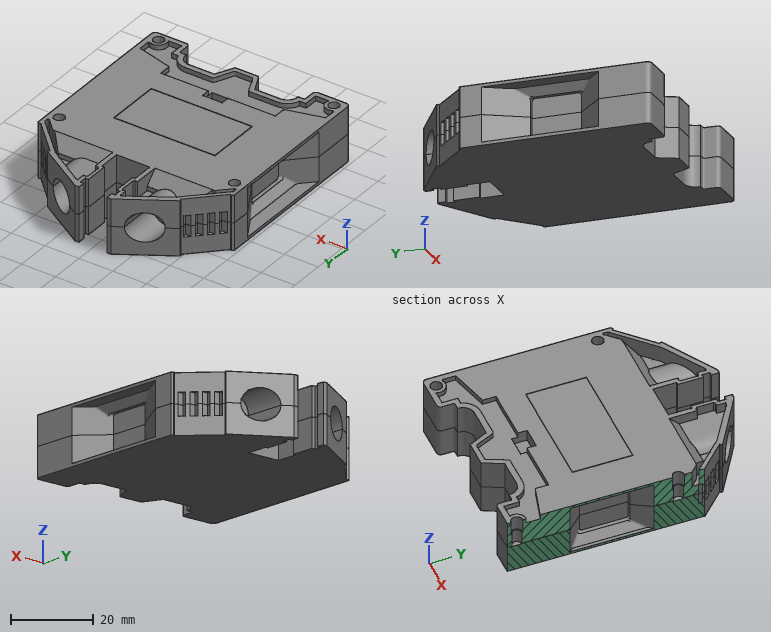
import cadquery as cq
import math


width = 58.0
height = 68.0
thickness = 16.0
half_width = width / 2
half_thickness = thickness / 2

outer_foot_radius = 1.2
inner_foot_radius = 1.0
foot_inner_x = 18.5
foot_step_y = 4.3
foot_step_radius = 0.4
seat_outer_x = 16.5
seat_roof_y = 7.5
seat_radius = 3.0
tongue_root_x = 6.0
tongue_tip_x = 3.5
tongue_tip_y = 2.25

shoulder_y = 49.5
shoulder_bump = 0.5
shoulder_dip_x = 28.0
shoulder_dip_y = 49.8
roof_foot_x = 19.3
roof_foot_y = shoulder_dip_y + shoulder_dip_x - roof_foot_x
eave_overhang = 0.3
eave_y = 59.15
post_top_x = 5.3

slot_floor_y = 50.85
slot_floor_x = 4.9
post_step_y = 57.05
post_inner_x = 4.15
post_notch_x = 5.1
post_notch_low_y = 63.85
post_notch_high_y = 65.9

entry_low_y = 13.4
entry_high_y = 43.9
entry_floor_low_y = 20.55
entry_floor_high_y = 33.4
entry_depth = 7.1
entry_half_thickness = 7.15
entry_taper_start = 3.95
entry_taper_end = 6.0
entry_floor_half_thickness = 5.1
entry_corner_radius = 0.7

bore_x = 12.3
bore_radius = 4.2
bore_floor_y = 54.4
sleeve_radius = 5.3

notch_count = 4
notch_pitch = 2.1
notch_top_y = 58.0
notch_height = 1.35
notch_bend_drop = 0.75
notch_bend_x = 0.3
notch_floor_x = 0.35
notch_half_length = 3.05

screw_x = 25.9
screw_low_y = 2.5
screw_high_y = 44.95
screw_head_diameter = 3.0
screw_head_depth = 4.1
screw_shank_diameter = 2.45

pocket_floor_z = 3.25
pocket_inner_x = 6.25
pocket_top_y = 65.35
pocket_top_x = 6.9
pocket_roof_x = 17.75
pocket_roof_y = 58.4
pocket_outer_x = 27.8
pocket_corner_y = 48.4
pocket_tip_x = 27.4
pocket_tip_y = 47.05
relief_x = 5.1
relief_low_y = 57.95
relief_high_y = 63.05
relief_chamfer = 0.35
ramp_top_y = 50.5
ramp_foot_y = 53.9
ramp_foot_z = 4.55
ramp_setback = 0.55

label_width = 29.85
label_low_y = 21.55
label_high_y = 37.5
label_depth = 0.15
latch_width = 5.8
latch_low_y = 12.9
latch_high_y = 17.0
latch_depth = 3.2
base_recess_depth = 1.35
base_top_x = 16.9
base_top_y = 14.55
base_shoulder_y = 11.0
base_side_x = 27.4
base_side_high_y = 8.2
base_side_low_y = 4.75
base_bottom_y = 1.55
base_foot_x = 19.85
base_step_y = 5.7
base_roof_y = 9.1
base_tongue_root_x = 5.2
base_tongue_tip_x = 2.7
base_tongue_tip_y = 3.6
base_tongue_radius = 0.55
screw_boss_radius = 2.45


def both_sides(left):
    """Return a left-hand tool together with its mirror image about X = 0."""
    return left.union(left.mirror("YZ"))


def block_outline():
    """Closed outer outline, drawn for the -X half from the slot to the tongue and mirrored."""
    return (
        cq.Workplane("XY")
        .moveTo(0, slot_floor_y)
        .lineTo(-slot_floor_x, slot_floor_y)
        .lineTo(-slot_floor_x, post_step_y)
        .lineTo(-post_inner_x, post_step_y)
        .lineTo(-post_inner_x, post_notch_low_y)
        .lineTo(-post_notch_x, post_notch_low_y)
        .lineTo(-post_notch_x, post_notch_high_y)
        .lineTo(-post_inner_x, post_notch_high_y)
        .lineTo(-post_inner_x, height)
        .lineTo(-post_top_x, height)
        .lineTo(-roof_foot_x - eave_overhang, eave_y)
        .lineTo(-roof_foot_x - eave_overhang, roof_foot_y + eave_overhang)
        .lineTo(-roof_foot_x, roof_foot_y)
        .lineTo(-shoulder_dip_x, shoulder_dip_y)
        .lineTo(-half_width + shoulder_bump, shoulder_y + shoulder_bump)
        .lineTo(-half_width, shoulder_y)
        .lineTo(-half_width, outer_foot_radius)
        .tangentArcPoint((-half_width + outer_foot_radius, 0), relative=False)
        .lineTo(-foot_inner_x - inner_foot_radius, 0)
        .tangentArcPoint((-foot_inner_x, inner_foot_radius), relative=False)
        .lineTo(-foot_inner_x, foot_step_y - foot_step_radius)
        .tangentArcPoint((-foot_inner_x + foot_step_radius, foot_step_y), relative=False)
        .lineTo(-seat_outer_x, foot_step_y)
        .lineTo(-seat_outer_x, seat_roof_y - seat_radius)
        .tangentArcPoint((-seat_outer_x + seat_radius, seat_roof_y), relative=False)
        .lineTo(-tongue_root_x, seat_roof_y)
        .lineTo(-tongue_tip_x, tongue_tip_y)
        .lineTo(0, tongue_tip_y)
        .mirrorY()
    )


def wire_entry():
    """Funnel in the -X side: sloped along Y, tapered along Z at mid depth, straight at its floor."""
    floor_x = -half_width + entry_depth
    taper_start_x = -half_width + entry_taper_start
    taper_end_x = -half_width + entry_taper_end
    sloped = (
        cq.Workplane("XY")
        .polyline([
            (-half_width, entry_low_y),
            (floor_x, entry_floor_low_y),
            (floor_x, entry_floor_high_y),
            (taper_end_x, entry_floor_high_y),
            (-half_width, entry_high_y),
        ])
        .close()
        .extrude(half_thickness, both=True)
    )
    tapered = (
        cq.Workplane("XZ")
        .polyline([
            (-half_width, -entry_half_thickness),
            (taper_start_x, -entry_half_thickness),
            (taper_end_x, -entry_floor_half_thickness),
            (floor_x, -entry_floor_half_thickness),
            (floor_x, entry_floor_half_thickness),
            (taper_end_x, entry_floor_half_thickness),
            (taper_start_x, entry_half_thickness),
            (-half_width, entry_half_thickness),
        ])
        .close()
        .extrude(-height)
    )
    funnel = sloped.intersect(tapered)
    inner_part = cq.selectors.BoxSelector(
        (taper_start_x, 0, -half_thickness),
        (floor_x, height, half_thickness),
    )
    corners = funnel.edges(inner_part).edges("not(|Y or |Z)")
    return corners.fillet(entry_corner_radius)


def along_y(radius, low_y, high_y):
    """Cylinder on the axis of the -X screw bore."""
    return (
        cq.Workplane("XZ", origin=(-bore_x, low_y, 0))
        .circle(radius)
        .extrude(low_y - high_y)
    )


def grip_notches():
    """Row of finger-grip notches in the -X shoulder."""
    notches = cq.Workplane("XY")
    for index in range(notch_count):
        top_y = notch_top_y - index * notch_pitch
        top_x = -roof_foot_x - (roof_foot_y - top_y)
        notch = (
            cq.Workplane("XY")
            .polyline([
                (top_x, top_y),
                (top_x + notch_bend_x, top_y - notch_bend_drop),
                (top_x + notch_floor_x, top_y - notch_height),
                (top_x - notch_height, top_y - notch_height),
            ])
            .close()
            .extrude(notch_half_length, both=True)
        )
        notches = notches.add(notch)
    return notches.combine()


def half_shell(direction):
    """Plain half of the housing on the +Z (direction 1) or -Z (direction -1) side of the joint."""
    shell = block_outline().extrude(direction * half_thickness)
    shell = shell.cut(both_sides(wire_entry()))
    shell = shell.cut(both_sides(along_y(bore_radius, bore_floor_y, height)))
    return shell.cut(both_sides(grip_notches()))


def screw_holes():
    """Counterbored corner holes through the upper shell."""
    centers = [(x, y) for x in (-screw_x, screw_x) for y in (screw_low_y, screw_high_y)]
    shanks = (
        cq.Workplane("XY")
        .pushPoints(centers)
        .circle(screw_shank_diameter / 2)
        .extrude(half_thickness)
    )
    heads = (
        cq.Workplane("XY", origin=(0, 0, half_thickness))
        .pushPoints(centers)
        .circle(screw_head_diameter / 2)
        .extrude(-screw_head_depth)
    )
    return shanks.union(heads)


def bore_pocket():
    """Open pocket at the -X post: deep along the roof, with a ramp up to the main face."""
    ramp_side_x = -pocket_tip_x + (ramp_top_y - pocket_tip_y)
    ramp_foot_x = ramp_side_x + ramp_setback + (ramp_foot_y - ramp_top_y)
    deep = (
        cq.Workplane("XY", origin=(0, 0, pocket_floor_z))
        .polyline([
            (-pocket_inner_x, ramp_foot_y),
            (-pocket_inner_x, relief_low_y),
            (-relief_x - relief_chamfer, relief_low_y),
            (-relief_x, relief_low_y + relief_chamfer),
            (-relief_x, relief_high_y - relief_chamfer),
            (-relief_x - relief_chamfer, relief_high_y),
            (-pocket_inner_x, relief_high_y),
            (-pocket_inner_x, pocket_top_y),
            (-pocket_top_x, pocket_top_y),
            (-pocket_roof_x, pocket_roof_y),
            (-pocket_outer_x, pocket_corner_y),
            (-pocket_outer_x, pocket_tip_y),
            (-pocket_tip_x, pocket_tip_y),
            (ramp_side_x, ramp_top_y),
            (ramp_side_x + ramp_setback, ramp_top_y),
            (ramp_foot_x, ramp_foot_y),
        ])
        .close()
        .extrude(half_thickness - pocket_floor_z)
    )
    over_ramp = (
        cq.Workplane("YZ", origin=(ramp_side_x, 0, 0))
        .polyline([
            (ramp_top_y, half_thickness),
            (ramp_foot_y, ramp_foot_z),
            (ramp_foot_y, half_thickness),
        ])
        .close()
        .extrude(-pocket_inner_x - ramp_side_x)
    )
    beside_ramp = (
        cq.Workplane("XY")
        .polyline([
            (ramp_side_x + ramp_setback, ramp_top_y),
            (ramp_foot_x, ramp_foot_y),
            (ramp_side_x, ramp_foot_y),
            (ramp_side_x, ramp_top_y),
        ])
        .close()
        .extrude(half_thickness)
    )
    sleeve = along_y(sleeve_radius, pocket_tip_y, height)
    return deep.union(over_ramp.cut(beside_ramp)).cut(sleeve)


def raised_floor():
    """Step between the +X post and the crest of its bore sleeve, kept when the pocket is cut."""
    return (
        cq.Workplane("XY")
        .moveTo(0, pocket_tip_y)
        .lineTo(bore_x, pocket_tip_y)
        .lineTo(bore_x, height)
        .lineTo(0, height)
        .close()
        .extrude(sleeve_radius)
    )


def face_recess(recess_width, low_y, high_y, depth):
    """Rectangular recess in the +Z face, centred on X = 0."""
    return (
        cq.Workplane("XY", origin=(0, (low_y + high_y) / 2, half_thickness))
        .rect(recess_width, high_y - low_y)
        .extrude(-depth)
    )


def base_recess():
    """Recess that follows the rail seat, with material left around the lower screw holes."""
    arc_radius = base_roof_y - (seat_roof_y - seat_radius)
    arc_center_x = -seat_outer_x + seat_radius
    arc_center_y = base_roof_y - arc_radius
    arc_start_x = arc_center_x - math.sqrt(arc_radius**2 - (base_step_y - arc_center_y) ** 2)
    arc_middle = (
        arc_center_x - arc_radius * math.sqrt(0.5),
        arc_center_y + arc_radius * math.sqrt(0.5),
    )
    recess = (
        cq.Workplane("XY", origin=(0, 0, half_thickness))
        .moveTo(0, base_top_y)
        .lineTo(-base_top_x, base_top_y)
        .lineTo(-base_top_x, base_shoulder_y)
        .lineTo(-base_side_x, base_side_high_y)
        .lineTo(-base_side_x, base_side_low_y)
        .lineTo(-screw_x, base_side_low_y)
        .lineTo(-screw_x, base_bottom_y)
        .lineTo(-base_foot_x, base_bottom_y)
        .lineTo(-base_foot_x, base_step_y)
        .lineTo(arc_start_x, base_step_y)
        .threePointArc(arc_middle, (arc_center_x, base_roof_y))
        .lineTo(-base_tongue_root_x, base_roof_y)
        .lineTo(-base_tongue_tip_x, base_tongue_tip_y)
        .lineTo(0, base_tongue_tip_y)
        .mirrorY()
        .extrude(-base_recess_depth)
    )
    margin = 0.7
    tongue_region = cq.selectors.BoxSelector(
        (-base_tongue_root_x - margin, base_tongue_tip_y - margin, 0),
        (base_tongue_root_x + margin, base_roof_y + margin, thickness),
    )
    recess = recess.edges("|Z").edges(tongue_region).fillet(base_tongue_radius)
    bosses = (
        cq.Workplane("XY")
        .pushPoints([(-screw_x, screw_low_y), (screw_x, screw_low_y)])
        .circle(screw_boss_radius)
        .extrude(half_thickness)
    )
    return recess.cut(bosses)


def build_upper_shell():
    """Half shell with the pockets, recesses and screw holes that open on the +Z face."""
    shell = half_shell(1)
    shell = shell.cut(screw_holes())
    shell = shell.cut(both_sides(bore_pocket()).cut(raised_floor()))
    shell = shell.cut(face_recess(label_width, label_low_y, label_high_y, label_depth))
    shell = shell.cut(face_recess(latch_width, latch_low_y, latch_high_y, latch_depth))
    return shell.cut(base_recess())


def build_lower_shell():
    """Half shell with a plain outer face."""
    return half_shell(-1)


upper_shell = build_upper_shell()
lower_shell = build_lower_shell()

result = cq.Compound.makeCompound([*upper_shell.solids().vals(), *lower_shell.solids().vals()])